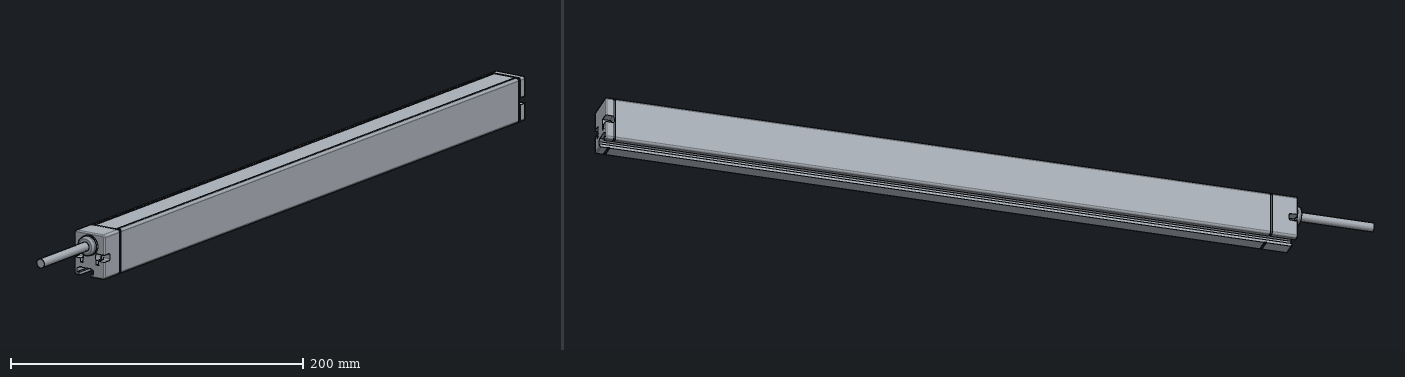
import cadquery as cq


total_length = 553.7
width = 25.4
height = 31.75
housing_length = 496.0
edge_radius = 1.7
end_radius = 1.0

cable_cap_length = 18.4
far_cap_length = 6.0
groove_width = 1.2
groove_depth = 0.5
window_width = 18.4

slot_x = -3.75
slot_opening = 9.8
slot_inner_width = 13.8
slot_ceiling_width = 9.0
slot_lip_height = 2.2
slot_height = 6.2
slot_corner_height = 1.3

notch_depth = 6.3
notch_top_z = 1.75
notch_height = 5.0
notch_inner_x = 5.6
notch_bulge = 0.5
notch_floor_rounding = 1.2
notch_leg_width = 1.9
notch_leg_bottom_z = -6.2

cable_z = 7.1
cable_diameter = 6.5
collar_diameter = 14.2
collar_length = 1.6
gland_diameter = 13.7
gland_length = 5.0
gland_rounding = 1.6

half_height = height / 2
notch_bottom_z = notch_top_z - notch_height
cable_length = total_length - housing_length - gland_length


def box_between(x_range, y_range, z_range):
    """Box given by its limits along each axis."""
    size = [end - start for start, end in (x_range, y_range, z_range)]
    corner = (x_range[0], y_range[0], z_range[0])
    return cq.Workplane("XY").box(*size, centered=False).translate(corner)


def housing_blank():
    """Plain bar with rounded long edges and rounded end faces."""
    blank = cq.Workplane("XY").box(width, housing_length, height)
    blank = blank.translate((0, housing_length / 2, 0))
    blank = blank.edges("|Y").fillet(edge_radius)
    return blank.faces("<Y or >Y").edges().fillet(end_radius)


def joint_groove(start_y):
    """Shallow ring around the bar where an end cap begins."""
    y_range = (start_y, start_y + groove_width)
    outer = box_between((-width, width), y_range, (-height, height))
    core = cq.Workplane("XY").box(
        width - 2 * groove_depth, groove_width, height - 2 * groove_depth
    )
    core = core.edges("|Y").fillet(edge_radius - groove_depth)
    core = core.translate((0, start_y + groove_width / 2, 0))
    return outer.cut(core)


def window_recess(start_y, end_y):
    """Shallow recess of the long window in the top face."""
    return box_between(
        (-window_width / 2, window_width / 2),
        (start_y, end_y),
        (half_height - groove_depth, height),
    )


def t_slot():
    """Full-length T-slot with bevelled upper corners, open at the underside."""
    lip_z = slot_lip_height - half_height
    ceiling_z = slot_height - half_height
    corner_z = ceiling_z - slot_corner_height
    right_side = [
        (slot_opening / 2, -height),
        (slot_opening / 2, lip_z),
        (slot_inner_width / 2, lip_z),
        (slot_inner_width / 2, corner_z),
        (slot_ceiling_width / 2, ceiling_z),
    ]
    left_side = [(-x, z) for x, z in reversed(right_side)]
    profile = cq.Workplane("XZ").polyline(right_side + left_side).close()
    return profile.extrude(-housing_length).translate((slot_x, 0, 0))


def side_notch(start_y, floor_side):
    """Notch on the +X side: hollow inner wall, rounded floor and a downward leg."""
    middle_z = (notch_top_z + notch_bottom_z) / 2
    opening = (
        cq.Workplane("XZ")
        .moveTo(width, notch_top_z)
        .lineTo(notch_inner_x, notch_top_z)
        .threePointArc(
            (notch_inner_x - notch_bulge, middle_z), (notch_inner_x, notch_bottom_z)
        )
        .lineTo(width, notch_bottom_z)
        .close()
        .extrude(-notch_depth)
    )
    opening = opening.faces(floor_side).edges().fillet(notch_floor_rounding)
    leg = box_between(
        (notch_inner_x, notch_inner_x + notch_leg_width),
        (0, notch_depth),
        (notch_leg_bottom_z, middle_z),
    )
    return opening.union(leg).translate((0, start_y, 0))


def cylinder_along_y(diameter, start_y, length):
    """Cylinder on the cable axis, growing from start_y toward -Y."""
    cylinder = cq.Workplane("XZ").circle(diameter / 2).extrude(length)
    return cylinder.translate((0, start_y, cable_z))


def make_housing():
    """Bar, end caps and cable gland with its collar, in one solid."""
    cable_groove_y = cable_cap_length
    far_groove_y = housing_length - far_cap_length - groove_width
    housing = housing_blank().cut(window_recess(cable_groove_y, far_groove_y + groove_width))
    for groove_y in (cable_groove_y, far_groove_y):
        housing = housing.cut(joint_groove(groove_y))
    housing = housing.cut(t_slot())
    for notch_y, floor_side in ((0, ">Y"), (housing_length - notch_depth, "<Y")):
        notch = side_notch(notch_y, floor_side)
        housing = housing.cut(notch).cut(notch.mirror("YZ"))
    gland = cylinder_along_y(gland_diameter, 0, gland_length)
    gland = gland.faces("<Y").edges().fillet(gland_rounding)
    collar = cylinder_along_y(collar_diameter, 0, collar_length)
    return housing.union(collar).union(gland)


def make_cable():
    """Round cable leaving the end of the gland."""
    return cylinder_along_y(cable_diameter, -gland_length, cable_length)


housing = make_housing()
cable = make_cable()

result = cq.Compound.makeCompound([housing.val(), cable.val()])